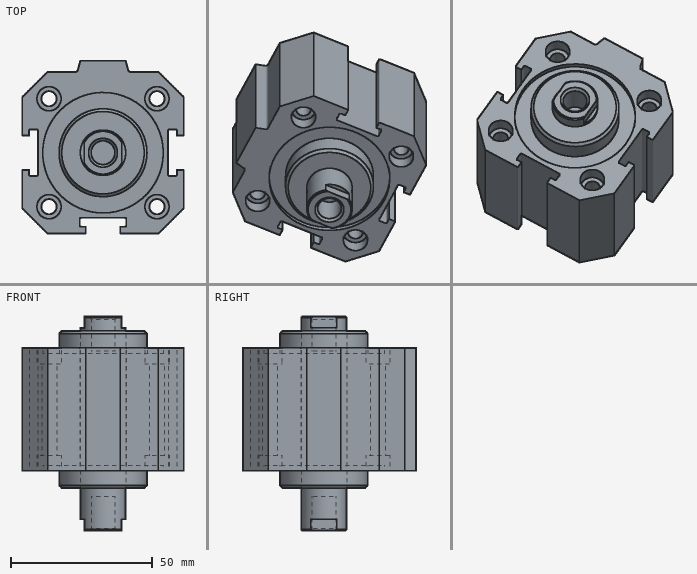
import cadquery as cq
import math

block_width = 57.0
block_bottom = -16.7
block_top = 26.65
corner_flat_half = 19.55
half_width = block_width / 2
block_height = block_top - block_bottom
block_middle = (block_top + block_bottom) / 2

rail_height = 4.0
rail_top_half = 8.0
rail_flank_angle = 15
rail_root_radius = 1.0

slot_mouth_half = 6.05
slot_inner_half = 8.15
slot_lip = 2.5
slot_depth = 5.5
slot_inner_radius = 0.4
slot_lip_radius = 0.3

mount_offset = 19.0
mount_hole_diameter = 5.3
counterbore_diameter = 8.5
counterbore_depth = 5.5

recess_diameter = 42.5
recess_depth = 2.0
collar_diameter = 31.0
collar_height = 6.05
collar_chamfer = 1.0

rod_diameter = 16.0
rod_length = 75.5
rod_chamfer = 0.45
flats_width = 13.1
flats_length = 4.0
socket_diameter = 8.4
socket_mouth_diameter = 10.2
socket_depth = 12.1
socket_chamfer = (socket_mouth_diameter - socket_diameter) / 2


def fillet_upright_edge(solid, x, y, radius):
    """Round the one edge parallel to Z that passes through (x, y)."""
    nearest = cq.NearestToPointSelector((x, y, block_middle))
    return solid.edges("|Z").edges(nearest).fillet(radius)


def make_block():
    """Block with cut corners and a tapered rail, filleted where the rail meets the block."""
    octagon = [
        (half_width, corner_flat_half),
        (half_width, -corner_flat_half),
        (corner_flat_half, -half_width),
        (-corner_flat_half, -half_width),
        (-half_width, -corner_flat_half),
        (-half_width, corner_flat_half),
        (-corner_flat_half, half_width),
        (corner_flat_half, half_width),
    ]
    rail_root_half = rail_top_half + rail_height * math.tan(math.radians(rail_flank_angle))
    rail_outline = [
        (-rail_root_half, half_width),
        (-rail_top_half, half_width + rail_height),
        (rail_top_half, half_width + rail_height),
        (rail_root_half, half_width),
    ]
    base = cq.Workplane("XY").workplane(offset=block_bottom)
    block = base.polyline(octagon).close().extrude(block_height)
    rail = base.polyline(rail_outline).close().extrude(block_height)
    block = block.union(rail)
    for side in (-1, 1):
        block = fillet_upright_edge(block, side * rail_root_half, half_width, rail_root_radius)
    return block


def make_slot_cutter():
    """Cutter for the T-slot on the -Y side, with rounded inner corners and rounded lips."""
    base = cq.Workplane("XY").workplane(offset=block_bottom)
    inner_height = slot_depth - slot_lip
    inner = (
        base.center(0, slot_lip + inner_height / 2 - half_width)
        .rect(2 * slot_inner_half, inner_height)
        .extrude(block_height)
        .edges("|Z")
        .fillet(slot_inner_radius)
    )
    flare_half = slot_mouth_half + slot_lip_radius
    round_start = slot_lip_radius - half_width
    mouth = (
        base.moveTo(-flare_half, -half_width)
        .radiusArc((-slot_mouth_half, round_start), -slot_lip_radius)
        .lineTo(-slot_mouth_half, slot_lip - half_width)
        .lineTo(slot_mouth_half, slot_lip - half_width)
        .lineTo(slot_mouth_half, round_start)
        .radiusArc((flare_half, -half_width), -slot_lip_radius)
        .close()
        .extrude(block_height)
    )
    return inner.union(mouth)


def make_mount_hole_cutter():
    """Through hole with a counterbore at each end, along Z at the origin."""
    base = cq.Workplane("XY").workplane(offset=block_bottom)
    hole = base.circle(mount_hole_diameter / 2).extrude(block_height)
    for start in (block_bottom, block_top - counterbore_depth):
        counterbore = cq.Workplane("XY").workplane(offset=start)
        hole = hole.union(counterbore.circle(counterbore_diameter / 2).extrude(counterbore_depth))
    return hole


def make_end_recess(start):
    """Ring-shaped cutter around the collar, from height start up."""
    return (
        cq.Workplane("XY")
        .workplane(offset=start)
        .circle(recess_diameter / 2)
        .circle(collar_diameter / 2)
        .extrude(recess_depth)
    )


def make_collars():
    """One cylinder through the block that stands out at both ends as chamfered collars."""
    return (
        cq.Workplane("XY")
        .workplane(offset=block_bottom - collar_height)
        .circle(collar_diameter / 2)
        .extrude(block_height + 2 * collar_height)
        .faces("<Z or >Z")
        .chamfer(collar_chamfer)
    )


def make_housing():
    housing = make_block()

    slot_cutter = make_slot_cutter()
    for angle in (-90, 0, 90):
        housing = housing.cut(slot_cutter.rotate((0, 0, 0), (0, 0, 1), angle))

    mount_hole_cutter = make_mount_hole_cutter()
    for x in (-mount_offset, mount_offset):
        for y in (-mount_offset, mount_offset):
            housing = housing.cut(mount_hole_cutter.translate((x, y, 0)))

    housing = housing.union(make_collars())
    for start in (block_bottom, block_top - recess_depth):
        housing = housing.cut(make_end_recess(start))

    rod_bore = cq.Workplane("XY").circle(rod_diameter / 2).extrude(rod_length, both=True)
    return housing.cut(rod_bore)


def make_rod_end_cutter():
    """Cutter for the +Z rod end: two wrench flats and a blind socket with a chamfered mouth."""
    rod_top = rod_length / 2
    flat_depth = (rod_diameter - flats_width) / 2
    flat_offset = (rod_diameter + flats_width) / 4
    flats = (
        cq.Workplane("XY")
        .workplane(offset=rod_top)
        .pushPoints([(-flat_offset, 0), (flat_offset, 0)])
        .rect(flat_depth, rod_diameter)
        .extrude(-flats_length)
    )
    socket_profile = [
        (0, rod_top),
        (socket_mouth_diameter / 2, rod_top),
        (socket_diameter / 2, rod_top - socket_chamfer),
        (socket_diameter / 2, rod_top - socket_depth),
        (0, rod_top - socket_depth),
    ]
    socket = cq.Workplane("XZ").polyline(socket_profile).close().revolve(360, (0, 0, 0), (0, 1, 0))
    return flats.union(socket)


def make_rod():
    """Round rod centred on the origin, with the same flats and socket at both ends."""
    rod = (
        cq.Workplane("XY")
        .circle(rod_diameter / 2)
        .extrude(rod_length / 2, both=True)
        .faces("<Z or >Z")
        .chamfer(rod_chamfer)
    )
    end_cutter = make_rod_end_cutter()
    return rod.cut(end_cutter).cut(end_cutter.mirror("XY"))


housing = make_housing()
rod = make_rod()

result = cq.Compound.makeCompound([housing.solids().val(), rod.solids().val()])